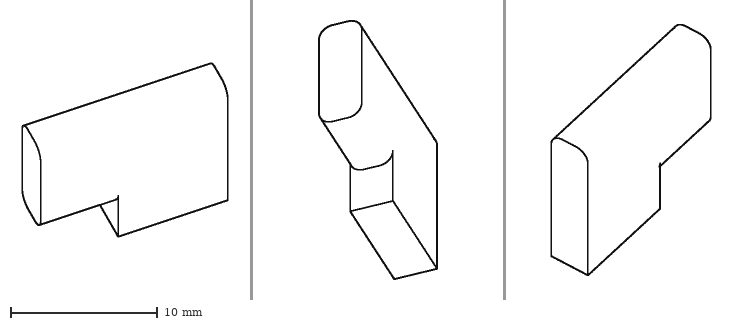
import cadquery as cq

width = 3.16
length = 14.0
height = 11.68

bar_height = 8.35
edge_radius = 1.01
bar_bottom = height - bar_height

foot_length = 8.2
foot_height = 4.54


def rounded_bar():
    bar = cq.Workplane("XY").box(width, length, bar_height, centered=(True, True, False))
    return bar.edges("|Y").fillet(edge_radius).translate((0, 0, bar_bottom))


def foot():
    block = cq.Workplane("XY").box(width, foot_length, foot_height, centered=(True, True, False))
    return block.translate((0, (length - foot_length) / 2, 0))


result = rounded_bar().union(foot())